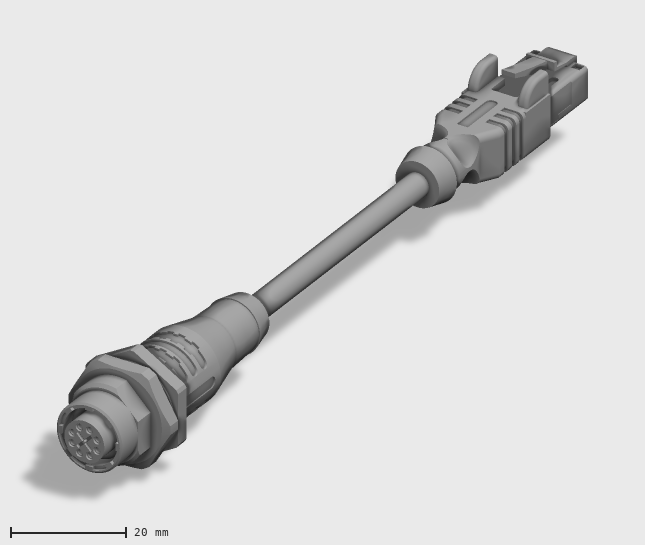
import cadquery as cq
import math

LENGTH = 153.7
CABLE_R = 4.8 / 2
OVERLAP = 1.0

INSERT_Y = 0.25
SHELL_Y = 1.6
THREAD_Y = 6.9
PANEL_NUT_Y = (10.9, 13.95)
FLANGE_Y = (15.15, 15.5)
REAR_NUT_Y = (15.5, 18.2)
GRIP_Y = (19.3, 32.3)
CONE_END_Y = 40.2
COLLAR_Y = (48.0, 52.4)

SHELL_R = 13.5 / 2
SHELL_CHAMFER = 0.35
BORE_R = 12.3 / 2
BORE_STEP_R = 11 / 2
BORE_STEP_Y = 2.3
BORE_FLOOR_Y = 5.0
KEY_COUNT = 8
KEY_WIDTH = 1.5
INSERT_R = 4.1
SEAL_R = 9.4 / 2
SEAL_SECTION_R = 0.6
THREAD_R = 15.8 / 2
THREAD_CHAMFER = 0.6
FLAT_DISTANCE = 13.5 / 2
FLAT_ANGLES = (0, 45, 180, 225)
NUT_ACROSS_FLATS = 19.0
PANEL_NUT_D = 20.995
PANEL_NUT_FACE_R = 9.1
PANEL_NUT_CHAMFER = 0.6
REAR_NUT_D = 21.5
FLANGE_R = 8.7
NECK_R = 9.6 / 2
GRIP_R = 15 / 2
CONE_END_R = 5.6
COLLAR_R = 11 / 2
COLLAR_END_R = 4.6
SLEEVE_R = 5.25

CONTACT_COUNT = 8
PAIR_ANGLE = 2 * 360 / CONTACT_COUNT
CONTACT_D = 1.1
CONTACT_RIM_D = 1.5
CONTACT_RIM_DEPTH = 0.4
CONTACT_CIRCLE_R = 2.75
CONTACT_SPREAD = 22.0
CONTACT_DEPTH = 4.0
CROSS_ANGLES = (45, 135)
CROSS_WIDTH = 0.6
CROSS_LENGTH = 4.0
CROSS_DEPTH = 0.6
CROSS_PIN_R = 0.25

GROOVE_Y = (22.4, 25.4, 28.4)
GROOVE_WIDTH = 2.0
GROOVE_DEPTH = 0.45
GRIP_NOTCH_X = (1.15, 3.95)
GRIP_NOTCH_LENGTH = 1.4
GRIP_NOTCH_WIDTH = 3.0
GROOVE_LOW_Z = 3.1
THUMB_SLOT_LENGTH = 10.3
THUMB_SLOT_WIDTH = 2.3
THUMB_SLOT_DEPTH = 0.35

PLUG_HALF_WIDTH = 5.8
PLUG_BOTTOM_Z = -3.45
PLUG_TOP_Z = 3.4
PLUG_FRONT = 1.0
NOSE_FRONT = 0.55
NOSE_HALF_WIDTH = 5.2
NOSE_Z = (-0.5, 2.4)
PLUG_EDGE_R = 0.9
SHIELD_STEP = 0.12
SHIELD_START = 6.3
SHIELD_STEP_BACK = 10.5
SHIELD_LOW_Z = (-1.6, -2.65)
POCKET_START, POCKET_END = 7.3, 11.0
POCKET_X = 3.3
POCKET_WIDTH = 1.6
POCKET_DEPTH = 0.8
WINDOW_START, WINDOW_END = 1.3, 2.9
WINDOW_X = 4.3
WINDOW_WIDTH = 1.8
WINDOW_DEPTH = 0.8

BOOT_START = 14.4
BOOT_SIDE_END = 30.5
BOOT_TAPER_END = 33.9
BOOT_END = 37.5
BOOT_HALF_WIDTH = 6.65
BOOT_HALF_HEIGHT = 4.85
BOOT_EDGE_R = 1.3
TAIL_R = 9.4 / 2
TAIL_END = 42.6
TAIL_COLLAR_END = 46.7
TAIL_COLLAR_END_R = 4.5
SCOOP_ANGLES = (45, 135, 225, 315)
SCOOP_END = 39.6
SCOOP_FRONT = (7.6, 34.0)
SCOOP_LOW = (3.6, 36.9)
EAR_TOP_Z = 8.9
EAR_FLAT_END = 17.0
EAR_ARC_R = 4.4
EAR_X = (4.1, 6.2)
EAR_EDGE_R = 0.7
SHOULDER_END = 22.2
SHOULDER_Z = 4.6
NOTCH_END = 19.0
NOTCH_HALF_WIDTH = 2.7
NOTCH_CORNER_R = 0.5
BOOT_SLOT = (22.0, 32.3)
BOOT_SLOT_WIDTH = 2.3
BOOT_SLOT_CORNER_R = 1.0
BOOT_RECESS = 0.35
RIB_GROOVES = (23.7, 26.0, 28.5)
RIB_GROOVE_WIDTH = 1.3
RIB_GROOVE_INNER_X = 2.7
RIB_GROOVE_DEPTH = 0.5

LATCH_HALF_WIDTH = 2.9
LEVER_HALF_WIDTH = 1.4
LATCH_ROOT_PROFILE = [
    (0, 0.9), (0, 4.15), (0.9, 4.45), (3.5, 4.45), (6.5, 5.0), (6.5, 6.2),
    (7.3, 6.3), (7.3, 4.5), (3.2, 3.9), (3.2, 2.0), (1.5, 0.9),
]
LEVER_PROFILE = [
    (6.5, 4.6), (6.5, 6.0), (12.3, 7.2), (17.5, 8.5), (17.5, 7.6), (10.0, 5.0), (9.0, 4.5),
]


def along_y(radius, y0, y1):
    """Cylinder on the cable axis from y0 to y1."""
    return cq.Workplane("XZ", origin=(0, y0, 0)).circle(radius).extrude(y0 - y1)


def revolved(points):
    """Turned body from (radius, y) points, closed along the cable axis."""
    closed = [(0, points[0][1])] + points + [(0, points[-1][1])]
    return cq.Workplane("XY").polyline(closed).close().revolve(360, (0, 0), (0, 1))


def block(x, y, z):
    """Box from its (low, high) limits along each axis."""
    size = [b - a for a, b in (x, y, z)]
    middle = [(a + b) / 2 for a, b in (x, y, z)]
    return cq.Workplane("XY").box(*size).translate(middle)


def from_tip(distance):
    """Y of a point given by its distance back from the plug tip."""
    return LENGTH - distance


def plug_block(x, back, z):
    """Box on the plug, its Y limits given as distances back from the plug tip."""
    return block(x, (from_tip(back[1]), from_tip(back[0])), z)


def side_profile(points, half_width):
    """Prism across X from (distance from plug tip, z) points."""
    outline = [(from_tip(back), z) for back, z in points]
    return cq.Workplane("YZ").polyline(outline).close().extrude(half_width, both=True)


def both_sides(shape):
    """Shape together with its mirror image in X."""
    return shape.union(shape.mirror("YZ"))


def turn(shape, angle):
    """Shape turned about the cable axis, from +X towards +Z."""
    return shape.rotate((0, 0, 0), (0, 1, 0), -angle)


def hex_nut(y_range, corner_d):
    """Hexagon with two corners on Z, its corners turned down to corner_d."""
    y0, y1 = y_range
    hexagon_d = NUT_ACROSS_FLATS / math.cos(math.pi / 6)
    plane = cq.Workplane("XZ", origin=(0, y0, 0))
    hexagon = plane.transformed(rotate=(0, 0, 90)).polygon(6, hexagon_d).extrude(y0 - y1)
    return hexagon.intersect(along_y(corner_d / 2, y0, y1))


def panel_nut():
    """Panel nut with its corners on X and a turned chamfer on the front."""
    y0, y1 = PANEL_NUT_Y
    nut = turn(hex_nut(PANEL_NUT_Y, PANEL_NUT_D), 90)
    rim = PANEL_NUT_D / 2
    chamfered = revolved([(PANEL_NUT_FACE_R, y0), (rim, y0 + PANEL_NUT_CHAMFER), (rim, y1)])
    return nut.intersect(chamfered)


def threaded_body():
    """Mounting thread with four flats milled along it."""
    body = revolved([
        (THREAD_R - THREAD_CHAMFER, THREAD_Y),
        (THREAD_R, THREAD_Y + THREAD_CHAMFER),
        (THREAD_R, REAR_NUT_Y[0]),
    ])
    flat = block((FLAT_DISTANCE, 2 * THREAD_R), (0, REAR_NUT_Y[0]), (-THREAD_R, THREAD_R))
    for angle in FLAT_ANGLES:
        body = body.cut(turn(flat, angle))
    return body


def shell():
    """Front sleeve with a stepped bore; keys bridge the bore step."""
    body = revolved([
        (SHELL_R - SHELL_CHAMFER, SHELL_Y),
        (SHELL_R, SHELL_Y + SHELL_CHAMFER),
        (SHELL_R, THREAD_Y + OVERLAP),
    ])
    bore = along_y(BORE_STEP_R, SHELL_Y, BORE_FLOOR_Y)
    step = along_y(BORE_R, SHELL_Y, BORE_STEP_Y)
    key = block((BORE_STEP_R, BORE_R), (SHELL_Y, BORE_STEP_Y), (-KEY_WIDTH / 2, KEY_WIDTH / 2))
    for i in range(KEY_COUNT):
        step = step.cut(turn(key, i * 360 / KEY_COUNT))
    return body.cut(bore).cut(step)


def insert():
    """Contact carrier with four contact pairs, a shield cross and a seal ring."""
    body = along_y(INSERT_R, INSERT_Y, BORE_FLOOR_Y + OVERLAP)
    seal_y = BORE_FLOOR_Y - SEAL_SECTION_R / 2
    seal = (
        cq.Workplane("XY").center(SEAL_R, seal_y).circle(SEAL_SECTION_R)
        .revolve(360, (-SEAL_R, 0), (-SEAL_R, 1))
    )
    body = body.union(seal)
    contact = along_y(CONTACT_D / 2, INSERT_Y, INSERT_Y + CONTACT_DEPTH)
    contact = contact.union(along_y(CONTACT_RIM_D / 2, INSERT_Y, INSERT_Y + CONTACT_RIM_DEPTH))
    contact = contact.translate((CONTACT_CIRCLE_R, 0, 0))
    for i in range(CONTACT_COUNT):
        side = CONTACT_SPREAD if i % 2 else -CONTACT_SPREAD
        body = body.cut(turn(contact, (i // 2) * PAIR_ANGLE + side))
    cross_floor = INSERT_Y + CROSS_DEPTH
    floor_plane = cq.Workplane("XZ", origin=(0, cross_floor, 0))
    arm = floor_plane.rect(CROSS_LENGTH, CROSS_WIDTH).extrude(CROSS_DEPTH)
    for angle in CROSS_ANGLES:
        body = body.cut(turn(arm, angle))
    return body.union(along_y(CROSS_PIN_R, 0, BORE_FLOOR_Y))


def grip():
    """Moulded grip with notched grooves and thumb slots, tapered to a sleeve and a cable collar."""
    body = revolved([
        (GRIP_R, GRIP_Y[0]),
        (GRIP_R, GRIP_Y[1]),
        (CONE_END_R, CONE_END_Y),
        (SLEEVE_R, COLLAR_Y[0]),
        (COLLAR_R, COLLAR_Y[0]),
        (COLLAR_END_R, COLLAR_Y[1]),
    ])
    core = along_y(GRIP_R - GROOVE_DEPTH, GRIP_Y[0], GRIP_Y[1])
    length = 2 * (GRIP_R - GROOVE_LOW_Z)
    groove_places = [(y, z) for y in GROOVE_Y for z in (-GRIP_R, GRIP_R)]
    outlines = cq.Workplane("YZ").pushPoints(groove_places)
    grooves = outlines.slot2D(length, GROOVE_WIDTH, 90).extrude(2 * GRIP_R, both=True)
    notch_places = [
        (side * x, y) for y in (GROOVE_Y[0], GROOVE_Y[-1]) for x in GRIP_NOTCH_X for side in (-1, 1)
    ]
    notches = (
        cq.Workplane("XY").pushPoints(notch_places).rect(GRIP_NOTCH_LENGTH, GRIP_NOTCH_WIDTH)
        .extrude(GRIP_R, both=True)
    )
    grooves = grooves.union(notches).cut(core)
    thumb = (
        cq.Workplane("YZ", origin=(GRIP_R - THUMB_SLOT_DEPTH, GROOVE_Y[1], 0))
        .slot2D(THUMB_SLOT_LENGTH, THUMB_SLOT_WIDTH).extrude(GRIP_R)
    )
    return body.cut(grooves).cut(both_sides(thumb))


def socket():
    """Complete M12 socket with its nuts and grip."""
    body = threaded_body().union(shell()).union(insert())
    body = body.union(panel_nut()).union(along_y(FLANGE_R, FLANGE_Y[0], FLANGE_Y[1]))
    body = body.union(hex_nut(REAR_NUT_Y, REAR_NUT_D))
    return body.union(along_y(NECK_R, REAR_NUT_Y[0], GRIP_Y[0] + OVERLAP)).union(grip())


def plug_body():
    """Shielded plug shell: its rear half steps in, with pockets and windows on top."""
    half = PLUG_HALF_WIDTH
    back = BOOT_START + OVERLAP
    body = plug_block((-half, half), (PLUG_FRONT, back), (PLUG_BOTTOM_Z, PLUG_TOP_Z))
    body = body.edges("|Y").fillet(PLUG_EDGE_R)
    nose = plug_block((-NOSE_HALF_WIDTH, NOSE_HALF_WIDTH), (NOSE_FRONT, back), NOSE_Z)
    body = body.union(nose)
    high, low = SHIELD_LOW_Z
    step = side_profile([
        (SHIELD_START, PLUG_TOP_Z), (SHIELD_START, high), (SHIELD_STEP_BACK, high),
        (SHIELD_STEP_BACK, low), (back, low), (back, PLUG_TOP_Z),
    ], 2 * half)
    inner = half - SHIELD_STEP
    step = step.cut(plug_block((-inner, inner), (0, 2 * back), (2 * PLUG_BOTTOM_Z, 2 * PLUG_TOP_Z)))
    body = body.cut(step)
    pocket = (
        cq.Workplane("XY", origin=(POCKET_X, from_tip((POCKET_START + POCKET_END) / 2), PLUG_TOP_Z))
        .slot2D(POCKET_END - POCKET_START, POCKET_WIDTH, 90).extrude(-POCKET_DEPTH)
    )
    window_x = (WINDOW_X - WINDOW_WIDTH / 2, WINDOW_X + WINDOW_WIDTH / 2)
    window = plug_block(window_x, (WINDOW_START, WINDOW_END), (PLUG_TOP_Z - WINDOW_DEPTH, PLUG_TOP_Z))
    return body.cut(both_sides(pocket)).cut(both_sides(window))


def latch():
    """Locking latch: a wide root at the tip and a narrow lever sloping up to the rear."""
    root = side_profile(LATCH_ROOT_PROFILE, LATCH_HALF_WIDTH)
    return root.union(side_profile(LEVER_PROFILE, LEVER_HALF_WIDTH))


def boot_outline():
    """Boot blank: straight sides tapering in plan to the width of the tail."""
    half = BOOT_HALF_WIDTH
    return (
        cq.Workplane("XY", origin=(0, 0, -BOOT_HALF_HEIGHT))
        .moveTo(-half, from_tip(BOOT_START))
        .lineTo(half, from_tip(BOOT_START))
        .lineTo(half, from_tip(BOOT_SIDE_END))
        .lineTo(TAIL_R, from_tip(BOOT_TAPER_END))
        .lineTo(TAIL_R, from_tip(BOOT_END))
        .lineTo(-TAIL_R, from_tip(BOOT_END))
        .lineTo(-TAIL_R, from_tip(BOOT_TAPER_END))
        .lineTo(-half, from_tip(BOOT_SIDE_END))
        .close()
        .extrude(2 * BOOT_HALF_HEIGHT)
    )


def scoops():
    """Four hollows at 45 degrees that thin the boot's corners into the round tail."""
    top = 2 * BOOT_HALF_WIDTH
    front_radius, front_back = SCOOP_FRONT
    low_radius, low_back = SCOOP_LOW
    scoop = (
        cq.Workplane("XY", origin=(0, 0, -TAIL_R))
        .moveTo(TAIL_R, from_tip(SCOOP_END))
        .threePointArc((low_radius, from_tip(low_back)), (front_radius, from_tip(front_back)))
        .lineTo(top, from_tip(front_back))
        .lineTo(top, from_tip(SCOOP_END))
        .close().extrude(2 * TAIL_R)
    )
    cutter = turn(scoop, SCOOP_ANGLES[0])
    for angle in SCOOP_ANGLES[1:]:
        cutter = cutter.union(turn(scoop, angle))
    return cutter


def tail():
    """Round tail with a collar around the cable."""
    body = along_y(TAIL_R, from_tip(TAIL_END + OVERLAP), from_tip(BOOT_TAPER_END))
    collar = revolved([
        (COLLAR_R, from_tip(TAIL_END)),
        (TAIL_COLLAR_END_R, from_tip(TAIL_COLLAR_END)),
    ])
    return body.union(collar)


def ears():
    """Two guards beside the latch lever, rounded down to the rear, each on a square shoulder."""
    x0, x1 = EAR_X
    ear = (
        cq.Workplane("YZ", origin=(x0, 0, 0))
        .moveTo(from_tip(BOOT_START), 0)
        .lineTo(from_tip(BOOT_START), EAR_TOP_Z)
        .lineTo(from_tip(EAR_FLAT_END), EAR_TOP_Z)
        .tangentArcPoint((-EAR_ARC_R, -EAR_ARC_R))
        .lineTo(from_tip(EAR_FLAT_END + EAR_ARC_R), 0)
        .close()
        .extrude(x1 - x0)
    )
    ear = ear.edges("%CIRCLE or (|Y and >Z)").fillet(EAR_EDGE_R)
    shoulder = plug_block((x0, BOOT_HALF_WIDTH), (BOOT_START, SHOULDER_END), (0, SHOULDER_Z))
    return both_sides(ear.union(shoulder))


def boot():
    """Moulded boot around the plug with latch notch, finger grooves and a top slot."""
    half, height = BOOT_HALF_WIDTH, BOOT_HALF_HEIGHT
    body = boot_outline().faces("<Z or >Z").edges("not #Y").fillet(BOOT_EDGE_R)

    notch = plug_block(
        (-NOTCH_HALF_WIDTH, NOTCH_HALF_WIDTH), (BOOT_START, NOTCH_END), (PLUG_TOP_Z, height)
    )
    body = body.cut(notch.edges("<Y and |Z").fillet(NOTCH_CORNER_R))

    slot_half = BOOT_SLOT_WIDTH / 2
    slot = plug_block((-slot_half, slot_half), BOOT_SLOT, (height - BOOT_RECESS, height))
    body = body.cut(slot.edges(">Y and |Z").fillet(BOOT_SLOT_CORNER_R))

    core_x, core_z = half - RIB_GROOVE_DEPTH, height - BOOT_RECESS
    core = plug_block((-core_x, core_x), (BOOT_START, BOOT_END), (-core_z, core_z))
    core = core.edges("|Y").fillet(BOOT_EDGE_R)
    for back in RIB_GROOVES:
        span = (back - RIB_GROOVE_WIDTH / 2, back + RIB_GROOVE_WIDTH / 2)
        groove = plug_block((RIB_GROOVE_INNER_X, half), span, (-height, height)).cut(core)
        body = body.cut(both_sides(groove))
    return body.union(ears())


result = (
    along_y(CABLE_R, COLLAR_Y[1] - OVERLAP, from_tip(TAIL_COLLAR_END - OVERLAP))
    .union(socket())
    .union(boot().union(tail()).cut(scoops()))
    .union(plug_body())
    .union(latch())
)